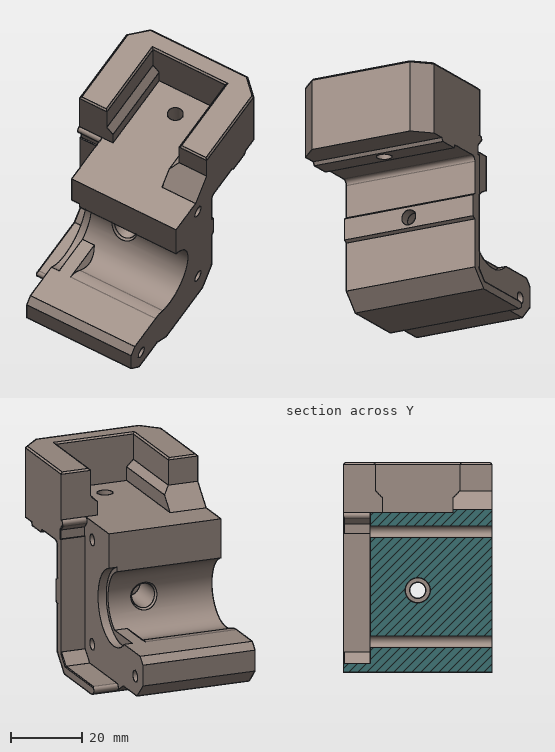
import cadquery as cq
import math

WIDTH, DEPTH, HEIGHT = 41.8, 72.0, 59.1

BORE_Y, BORE_Z = 21.0, 24.1
BORE_R = 10.0
RECESS_R = 11.3
RECESS_DEPTH = 2.5
HOLE_PITCH = 30.95
SIDE_HOLE_D = 3.3

WALL_BACK = 44.1
BLOCK_TOP = 45.1
BLOCK_FRONT = 24.55
WALL_CHAMFER = 5.05
LEG_TOP = 15.6
LEG_BOTTOM = 3.1
LEG_TOP_CHAMFER = 2.0
LEG_BOTTOM_CHAMFER = 4.3
FOOT_FRONT = 19.2
FOOT_SLOPE_END = 14.25

TRAY_FRONT = 41.25
TRAY_BOTTOM = 38.0
TRAY_CORNER = 5.0
TRAY_WALL_BACK = 5.55
SLOT_WIDTH = 23.75
RAIL_STEP = 2.0
RAIL_TOP = 51.1
RIM_CHAMFER = 0.5
INNER_CORNER_R = 1.5

KEY_HEIGHT = 1.0
KEY_BASE = 7.55
KEY_TAPER = 0.65

SCREW_D = 4.5
HEAD_D = 7.0
HEAD_CHAMFER = 0.5
HEAD_DEPTH = 10.8
TRAY_SCREW_Y = 58.9
WALL_SCREW_Z = 23.1

POCKET_DEPTH = 7.5
LIP = 2.5
LIP_FLOOR_CHAMFER = 3.25
GROOVE_Y = 42.0
GROOVE_BOTTOM = 39.2
GROOVE_TOP = 41.8
LIP_ROUND = 1.0
LIP_EDGE_CHAMFER = 0.25
LIP_Y = WALL_BACK - LIP
BUMP_TIP_Y = GROOVE_Y - (BLOCK_TOP - GROOVE_TOP)
LIP_TIP_Y = FOOT_FRONT - LIP * (FOOT_FRONT - FOOT_SLOPE_END) / LEG_BOTTOM

LAND_END = 13.9

MID_X = WIDTH / 2


def prism_x(points, x_start, x_end):
    """Extrude a (y, z) outline along X."""
    return cq.Workplane("YZ", origin=(x_start, 0, 0)).polyline(points).close().extrude(x_end - x_start)


def cylinder_x(y, z, radius, x_start, x_end):
    plane = cq.Workplane("YZ", origin=(x_start, 0, 0))
    return plane.center(y, z).circle(radius).extrude(x_end - x_start)


def bracket():
    return prism_x(
        [
            (WALL_BACK, TRAY_BOTTOM),
            (WALL_BACK, WALL_CHAMFER),
            (WALL_BACK - WALL_CHAMFER, 0),
            (FOOT_FRONT, 0),
            (FOOT_SLOPE_END, LEG_BOTTOM),
            (LEG_BOTTOM_CHAMFER, LEG_BOTTOM),
            (0, LEG_BOTTOM + LEG_BOTTOM_CHAMFER),
            (0, LEG_TOP - LEG_TOP_CHAMFER),
            (LEG_TOP_CHAMFER, LEG_TOP),
            (BLOCK_FRONT, LEG_TOP),
            (BLOCK_FRONT, BLOCK_TOP),
            (WALL_BACK, BLOCK_TOP),
        ],
        0,
        WIDTH,
    )


def tray():
    box = cq.Workplane("XY").box(WIDTH, DEPTH - TRAY_FRONT, HEIGHT - TRAY_BOTTOM, centered=False)
    box = box.translate((0, TRAY_FRONT, TRAY_BOTTOM)).edges("|Z and >Y").chamfer(TRAY_CORNER)
    return box.cut(tray_slot()).faces(">Z").edges().chamfer(RIM_CHAMFER)


def tray_slot():
    """Slot with a rail along each lower side, open to the front."""
    upper = SLOT_WIDTH / 2
    lower = upper - RAIL_STEP
    slot_back = DEPTH - TRAY_WALL_BACK
    right = [
        (lower, BLOCK_TOP),
        (lower, RAIL_TOP - RAIL_STEP),
        (upper, RAIL_TOP),
        (upper, HEIGHT),
    ]
    left = [(-x, z) for x, z in reversed(right)]
    plane = cq.Workplane("XZ", origin=(MID_X, slot_back, 0))
    return plane.polyline(right + left).close().extrude(slot_back)


def gusset():
    """Sloped support in front of the right tray arm."""
    left = MID_X + SLOT_WIDTH / 2 - RAIL_STEP
    rise = RAIL_TOP - BLOCK_TOP
    outline = [
        (TRAY_FRONT, BLOCK_TOP),
        (TRAY_FRONT - rise, BLOCK_TOP),
        (TRAY_FRONT, BLOCK_TOP + rise),
    ]
    return prism_x(outline, left, WIDTH).cut(tray_slot())


def key_outline():
    """Trapezoid as (position along the face, height above the face)."""
    base = KEY_BASE / 2
    tip = base - KEY_TAPER
    return [(-base, 0), (base, 0), (tip, KEY_HEIGHT), (-tip, KEY_HEIGHT)]


def wall_key():
    return prism_x([(WALL_BACK + h, WALL_SCREW_Z + s) for s, h in key_outline()], 0, WIDTH)


def tray_key():
    return prism_x([(TRAY_SCREW_Y + s, TRAY_BOTTOM - h) for s, h in key_outline()], 0, WIDTH)


def side_pocket():
    """Removes the left end of the block and leaves a lip along its back and bottom."""
    outline = [
        (TRAY_FRONT, BLOCK_TOP),
        (BUMP_TIP_Y, BLOCK_TOP),
        (GROOVE_Y, GROOVE_TOP),
        (GROOVE_Y, GROOVE_BOTTOM),
        (LIP_Y, GROOVE_BOTTOM),
        (LIP_Y, LIP + LIP_FLOOR_CHAMFER),
        (LIP_Y - LIP_FLOOR_CHAMFER, LIP),
        (LIP_TIP_Y, LIP),
        (FOOT_FRONT, 0),
        (0, 0),
        (0, HEIGHT),
        (TRAY_FRONT, HEIGHT),
    ]
    return prism_x(outline, 0, POCKET_DEPTH)


def edge_near(x, y, z):
    return cq.selectors.NearestToPointSelector((x, y, z))


def finish_lip(body):
    """Chamfers the inner edges of the lip on the left face, then rounds its two tips."""
    chamfered = [
        ((LIP_Y - LIP_FLOOR_CHAMFER + LIP_TIP_Y) / 2, LIP),
        (LIP_Y - LIP_FLOOR_CHAMFER / 2, LIP + LIP_FLOOR_CHAMFER / 2),
        (GROOVE_Y, (GROOVE_BOTTOM + GROOVE_TOP) / 2),
        ((GROOVE_Y + BUMP_TIP_Y) / 2, (GROOVE_TOP + BLOCK_TOP) / 2),
    ]
    for y, z in chamfered:
        body = body.edges(edge_near(0, y, z)).chamfer(LIP_EDGE_CHAMFER)
    for y, z in [(BUMP_TIP_Y, BLOCK_TOP), (LIP_TIP_Y, LIP)]:
        body = body.edges(edge_near(POCKET_DEPTH / 2, y, z)).fillet(LIP_ROUND)
    return body


def bore():
    """Bore above the flat land, with a recess on the left face."""
    above_leg = cq.Workplane("XY").box(WIDTH, DEPTH, HEIGHT, centered=False).translate((0, 0, LEG_TOP))
    through = cylinder_x(BORE_Y, BORE_Z, BORE_R, 0, WIDTH).intersect(above_leg)
    recess = cylinder_x(BORE_Y, BORE_Z, RECESS_R, 0, POCKET_DEPTH + RECESS_DEPTH)
    return through.union(recess)


def leg_channel():
    """Lower part of the bore, joined to the leg top by an equal arc and closed by a 45 degree ramp."""
    drop = BORE_Z - LEG_TOP
    blend_z = LEG_TOP - BORE_R
    blend_y = BORE_Y - math.sqrt((2 * BORE_R) ** 2 - (drop + BORE_R) ** 2)
    join = ((BORE_Y + blend_y) / 2, (BORE_Z + blend_z) / 2)
    bore_edge = (BORE_Y + math.sqrt(BORE_R**2 - drop**2), LEG_TOP)
    lean = math.atan2(join[1] - blend_z, join[0] - blend_y)
    mid_angle = (lean + math.pi / 2) / 2
    blend_mid = (blend_y + BORE_R * math.cos(mid_angle), blend_z + BORE_R * math.sin(mid_angle))
    channel = (
        cq.Workplane("YZ", origin=(LAND_END, 0, 0))
        .moveTo(blend_y, LEG_TOP)
        .threePointArc(blend_mid, join)
        .threePointArc((BORE_Y, BORE_Z - BORE_R), bore_edge)
        .close()
        .extrude(WIDTH - LAND_END)
    )
    depth = BORE_R - drop
    end_ramp = (
        cq.Workplane("XZ", origin=(0, DEPTH, 0))
        .polyline([(LAND_END, LEG_TOP), (LAND_END, LEG_TOP - depth), (LAND_END + depth, LEG_TOP - depth)])
        .close()
        .extrude(DEPTH)
    )
    return channel.cut(end_ramp)


def side_holes():
    half = HOLE_PITCH / 2
    centres = [(half, half), (half, -half), (-half, -half)]
    plane = cq.Workplane("YZ").center(BORE_Y, BORE_Z)
    return plane.pushPoints(centres).circle(SIDE_HOLE_D / 2).extrude(WIDTH)


def tray_screw_hole():
    return cq.Workplane("XY").center(MID_X, TRAY_SCREW_Y).circle(SCREW_D / 2).extrude(HEIGHT)


def wall_screw_hole():
    """Counterbored hole along Y, opening into the bore."""
    seat = BORE_Y + BORE_R + HEAD_DEPTH
    start = cq.Workplane("XZ", origin=(MID_X, BORE_Y, WALL_SCREW_Z))
    shank = start.circle(SCREW_D / 2).extrude(BORE_Y - DEPTH)
    return shank.union(start.circle(HEAD_D / 2).extrude(BORE_Y - seat))


def finish_screw_mouth(body):
    """Chamfers the edge where the counterbore meets the curved bore."""
    mouth_x = MID_X + HEAD_D / 2
    mouth_y = BORE_Y + math.sqrt(BORE_R**2 - (BORE_Z - WALL_SCREW_Z) ** 2)
    return body.edges(edge_near(mouth_x, mouth_y, WALL_SCREW_Z)).chamfer(HEAD_CHAMFER)


result = bracket()
for added in (tray(), gusset(), wall_key(), tray_key()):
    result = result.union(added)
for removed in (side_pocket(), bore(), leg_channel(), side_holes(), tray_screw_hole(), wall_screw_hole()):
    result = result.cut(removed)

result = result.edges(edge_near(MID_X, WALL_BACK, TRAY_BOTTOM)).fillet(INNER_CORNER_R)
result = finish_screw_mouth(result)
result = finish_lip(result)